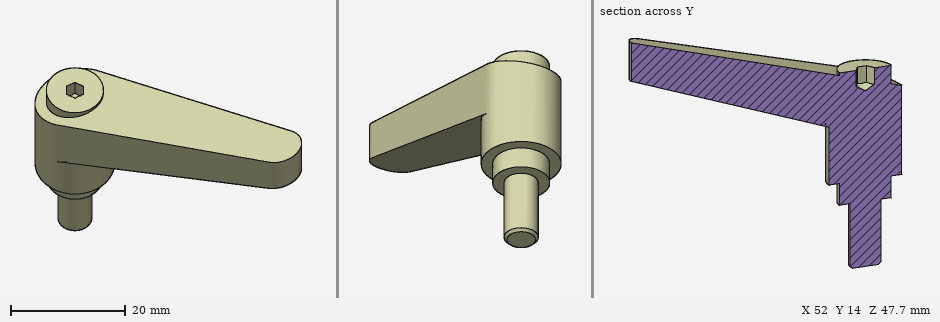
import math

import cadquery as cq

hub_radius = 7.0
collar_radius = 5.0
collar_height = 4.0
stud_diameter = 6.0
stud_length = 12.0
stud_chamfer = 0.5

tip_radius = 4.0
arm_length = 41.0
top_angle = 16.28
underside_angle = 20.0
total_height = 47.69

underside_axis_height = 12.12

cap_radius = 5.0
cap_top = 24.5
hex_across_flats = 3.0
hex_depth = 3.0
floor_cone_angle = 120.0

top_slope = math.tan(math.radians(top_angle))
underside_slope = math.tan(math.radians(underside_angle))
tip_x = arm_length + tip_radius
arm_top_at_tip = total_height - stud_length
top_axis_height = arm_top_at_tip - tip_x * top_slope


def top_height(x):
    """Height of the upper sloping face at x."""
    return top_axis_height + x * top_slope


def underside_height(x):
    """Height of the lower sloping face at x."""
    return underside_axis_height + x * underside_slope


def disc(radius, bottom, top):
    """Cylinder about Z between two heights."""
    return cq.Workplane("XY").workplane(offset=bottom).circle(radius).extrude(top - bottom)


def side_profile(points):
    """Prism across the full hub width from an outline in the XZ plane."""
    return cq.Workplane("XZ").polyline(points).close().extrude(hub_radius, both=True)


def plan_outline():
    """Hub and tip circles joined by their common tangents, as a tall prism."""
    lean = math.asin((hub_radius - tip_radius) / arm_length)
    sin_lean = math.sin(lean)
    cos_lean = math.cos(lean)
    hub_x, hub_y = hub_radius * sin_lean, hub_radius * cos_lean
    end_x, end_y = arm_length + tip_radius * sin_lean, tip_radius * cos_lean
    return (
        cq.Workplane("XY")
        .moveTo(hub_x, hub_y)
        .lineTo(end_x, end_y)
        .threePointArc((tip_x, 0), (end_x, -end_y))
        .lineTo(hub_x, -hub_y)
        .threePointArc((-hub_radius, 0), (hub_x, hub_y))
        .close()
        .extrude(total_height)
    )


def arm():
    """Tapering lever between the two sloping faces."""
    band = side_profile([
        (-hub_radius, underside_height(-hub_radius)),
        (tip_x, underside_height(tip_x)),
        (tip_x, top_height(tip_x)),
        (-hub_radius, top_height(-hub_radius)),
    ])
    return plan_outline().intersect(band)


def hub():
    """Round hub cut off at the top by the sloping upper face."""
    below_top = side_profile([
        (-hub_radius, collar_height),
        (hub_radius, collar_height),
        (hub_radius, top_height(hub_radius)),
        (-hub_radius, top_height(-hub_radius)),
    ])
    return disc(hub_radius, collar_height, total_height).intersect(below_top)


def stud():
    """Plain shank below the collar with a chamfered end."""
    return disc(stud_diameter / 2, -stud_length, 0).faces("<Z").chamfer(stud_chamfer)


def hex_socket():
    """Hexagonal recess with a conical floor, opening at the top of the cap."""
    corner_radius = hex_across_flats / 2 / math.cos(math.radians(30))
    cone_depth = corner_radius / math.tan(math.radians(floor_cone_angle / 2))
    rim = cap_top - hex_depth
    apex = rim - cone_depth
    hexagon = cq.Workplane("XY").workplane(offset=apex).polygon(6, 2 * corner_radius).extrude(cap_top - apex)
    pointed_bore = (
        cq.Workplane("XZ")
        .polyline([(0, apex), (corner_radius, rim), (corner_radius, cap_top), (0, cap_top)])
        .close()
        .revolve(360, (0, 0, 0), (0, 1, 0))
    )
    return hexagon.intersect(pointed_bore)


body = hub().union(arm())
body = body.union(disc(collar_radius, 0, collar_height))
body = body.union(disc(cap_radius, collar_height, cap_top))
body = body.union(stud())
result = body.cut(hex_socket())